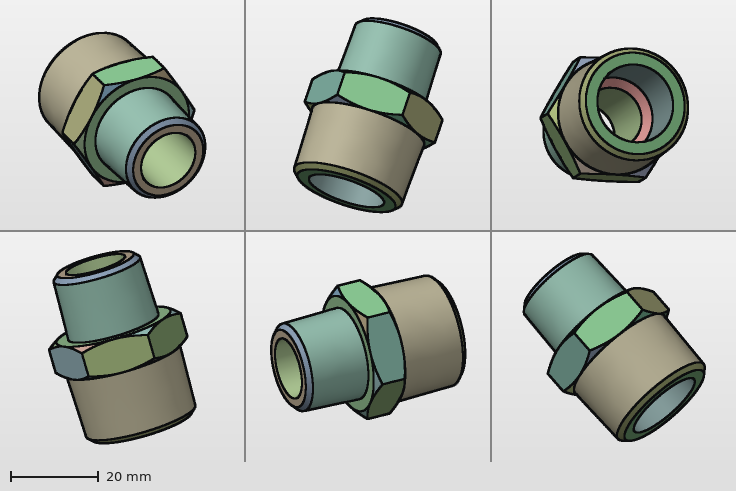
import cadquery as cq
import math

total_length = 39.0
large_length = 16.0
hex_width = 8.0
hex_sides = 6
across_flats = 27.0
x_start = -total_length / 2
x_end = total_length / 2
hex_start = x_start + large_length
hex_end = hex_start + hex_width

taper = 1 / 16
large_gauge_radius = 13.22
large_gauge_length = 9.5
small_gauge_radius = 10.5
small_gauge_length = 8.2
end_chamfer = 1.2

corner_chamfer_angle = 30.0

wide_bore_radius = 9.0
narrow_bore_radius = 7.02
wide_bore_depth = large_length
bore_step_angle = 45.0


def revolve_profile(points):
    """Solid of revolution about X from (x, radius) points."""
    return cq.Workplane("XY").polyline(points).close().revolve(360, (0, 0, 0), (1, 0, 0))


def tapered_end(face_x, inward, root_x, gauge_radius, gauge_length):
    """Chamfered taper from an end face to the hexagon; inward is the X sign into the part."""
    gauge_x = face_x + inward * gauge_length

    def radius_at(x):
        return gauge_radius + inward * (x - gauge_x) * taper / 2

    chamfer_x = face_x + inward * end_chamfer
    chamfer_radius = radius_at(chamfer_x)
    return revolve_profile([
        (face_x, 0),
        (face_x, chamfer_radius - end_chamfer),
        (chamfer_x, chamfer_radius),
        (gauge_x, gauge_radius),
        (root_x, radius_at(root_x)),
        (root_x, 0),
    ])


def hexagon():
    """Hexagon with flats facing Z, its corners chamfered on both faces."""
    flat_radius = across_flats / 2
    corner_radius = flat_radius / math.cos(math.pi / hex_sides)
    chamfer_length = (corner_radius - flat_radius) * math.tan(math.radians(corner_chamfer_angle))
    prism = (
        cq.Workplane("YZ", origin=(hex_start, 0, 0))
        .polygon(hex_sides, 2 * corner_radius)
        .extrude(hex_width)
    )
    chamfer_envelope = revolve_profile([
        (hex_start, 0),
        (hex_start, flat_radius),
        (hex_start + chamfer_length, corner_radius),
        (hex_end - chamfer_length, corner_radius),
        (hex_end, flat_radius),
        (hex_end, 0),
    ])
    return prism.intersect(chamfer_envelope)


def bore():
    """Stepped bore running the full length."""
    step_start = x_start + wide_bore_depth
    step_length = (wide_bore_radius - narrow_bore_radius) / math.tan(math.radians(bore_step_angle))
    return revolve_profile([
        (x_start, 0),
        (x_start, wide_bore_radius),
        (step_start, wide_bore_radius),
        (step_start + step_length, narrow_bore_radius),
        (x_end, narrow_bore_radius),
        (x_end, 0),
    ])


large_end = tapered_end(x_start, 1, hex_start, large_gauge_radius, large_gauge_length)
small_end = tapered_end(x_end, -1, hex_end, small_gauge_radius, small_gauge_length)
result = large_end.union(hexagon()).union(small_end).cut(bore())